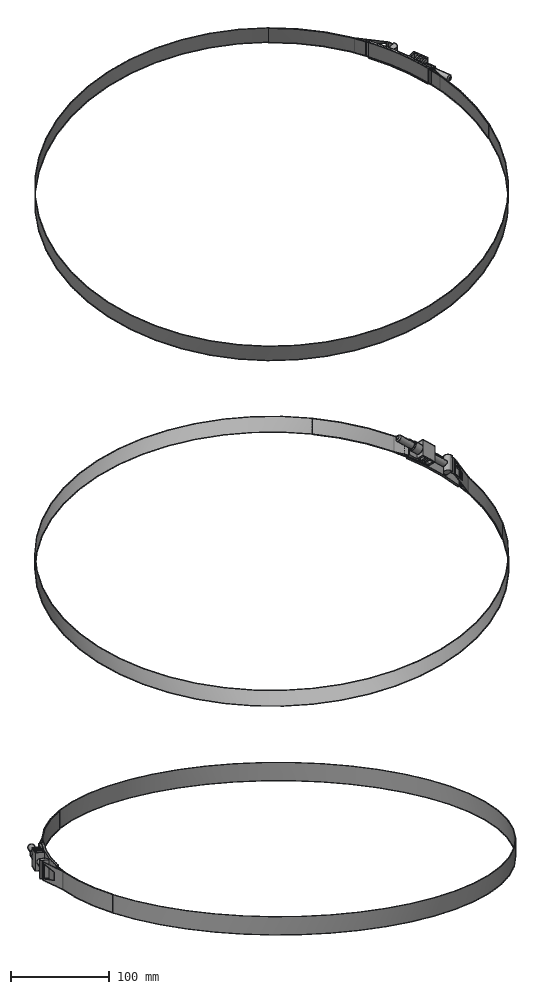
import cadquery as cq
import math


BAND_RADIUS = 239.5
BAND_THICKNESS = 0.6
BAND_WIDTH = 19.5
LEFT_STRAP_SLOPE = 0.42
RIGHT_STRAP_SLOPE = 0.38
STRAP_START_ANGLE = 12.5
LEFT_STRAP_BEND_X = -19.5

LINER_THICKNESS = 0.6
LINER_HALF_ANGLE = 33.7
TAB_HALF_ANGLE = 9.5
TAB_HEIGHT = 1.5
TAB_THICKNESS = 1.0

SLEEVE_WIDTH = 22.0
SLEEVE_HALF_LENGTH = 36.0
SLEEVE_INNER_WALL = 0.75
SLEEVE_OUTER_WALL = 1.1

TOP_Y = 249.5
BOLT_DIAMETER = 7.5
BOLT_Y = 244.0
BOLT_END_X = 56.5
BOLT_CHAMFER = 1.5

TRUNNION_X = -14.5
TRUNNION_FLAT_LENGTH = 2.0
TRUNNION_BULGE = 4.5
TRUNNION_BOTTOM_Y = 240.0

HOUSING_START_X = 9.5
HOUSING_END_X = 36.5
HOUSING_ROOF = 1.5
HOUSING_FLOOR = 0.5
COLLAR_START_X = 26.5
COLLAR_CHAMFER = 1.0
RIB_THICKNESS = 2.0
RIB_STARTS_X = (9.5, 15.5, 19.5, 24.5)

WINDOW_REACH = 39.0
WINDOW_TOP_Y = 246.5
WINDOW_BOTTOM_Y = 239.5
WINDOW_TOP_WIDTH = 15.5
WINDOW_BOTTOM_WIDTH = 9.0

BAND_INNER_RADIUS = BAND_RADIUS - BAND_THICKNESS
LINER_INNER_RADIUS = BAND_INNER_RADIUS - LINER_THICKNESS
SLEEVE_INNER_RADIUS = LINER_INNER_RADIUS - SLEEVE_INNER_WALL
SLEEVE_OUTER_RADIUS = BAND_INNER_RADIUS + SLEEVE_OUTER_WALL
BOLT_RADIUS = BOLT_DIAMETER / 2
TRUNNION_FLAT_END_X = TRUNNION_X + TRUNNION_FLAT_LENGTH
BOLT_START_X = TRUNNION_FLAT_END_X


def ring_point(radius, angle):
    """Point on a circle, with the angle in degrees measured from +Y towards +X."""
    turn = math.radians(angle)
    return (radius * math.sin(turn), radius * math.cos(turn))


def ring_sector(inner_radius, outer_radius, start_angle, end_angle, width):
    """Curved strip centred on the XY plane, running clockwise from +Y."""
    middle = (start_angle + end_angle) / 2
    return (
        cq.Workplane("XY")
        .moveTo(*ring_point(outer_radius, start_angle))
        .threePointArc(ring_point(outer_radius, middle), ring_point(outer_radius, end_angle))
        .lineTo(*ring_point(inner_radius, end_angle))
        .threePointArc(ring_point(inner_radius, middle), ring_point(inner_radius, start_angle))
        .close()
        .extrude(width / 2, both=True)
    )


def box_between(x_start, x_end, y_start, y_end, width):
    """Block given by its X and Y limits, centred on the XY plane."""
    return (
        cq.Workplane("XY")
        .box(x_end - x_start, y_end - y_start, width)
        .translate(((x_start + x_end) / 2, (y_start + y_end) / 2, 0))
    )


def bolt_rod():
    """Plain bolt shank, which is also the hole it needs in its neighbours."""
    return (
        cq.Workplane("YZ", origin=(BOLT_START_X, BOLT_Y, 0))
        .circle(BOLT_RADIUS)
        .extrude(BOLT_END_X - BOLT_START_X)
    )


def make_strap(end_x, bend_x, slope):
    """Strip that climbs from the ring to bend_x and then runs level to end_x."""
    side = math.copysign(1, end_x)
    start_x, start_y = ring_point(BAND_RADIUS, side * STRAP_START_ANGLE)
    bend_y = start_y + slope * abs(bend_x - start_x)
    upper = [(start_x, start_y), (bend_x, bend_y)]
    if end_x != bend_x:
        upper.append((end_x, bend_y))
    lower = [(x, y - BAND_THICKNESS) for x, y in reversed(upper[1:])]
    ring_inside = ring_point(BAND_INNER_RADIUS, side * STRAP_START_ANGLE)
    outline = cq.Workplane("XY").polyline(upper + lower + [ring_inside]).close()
    return outline.extrude(BAND_WIDTH / 2, both=True)


def strap_window():
    """Tapered cutter along -X from the trunnion, long enough to pass through the climbing strap."""
    return (
        cq.Workplane("YZ", origin=(TRUNNION_X, 0, 0))
        .polyline([
            (WINDOW_TOP_Y, -WINDOW_TOP_WIDTH / 2),
            (WINDOW_TOP_Y, WINDOW_TOP_WIDTH / 2),
            (WINDOW_BOTTOM_Y, WINDOW_BOTTOM_WIDTH / 2),
            (WINDOW_BOTTOM_Y, -WINDOW_BOTTOM_WIDTH / 2),
        ])
        .close()
        .extrude(-WINDOW_REACH)
    )


def make_band():
    ring = ring_sector(
        BAND_INNER_RADIUS, BAND_RADIUS, STRAP_START_ANGLE, 360 - STRAP_START_ANGLE, BAND_WIDTH
    )
    left_strap = make_strap(TRUNNION_X, LEFT_STRAP_BEND_X, LEFT_STRAP_SLOPE).cut(strap_window())
    right_strap = make_strap(HOUSING_END_X, HOUSING_END_X, RIGHT_STRAP_SLOPE)
    return ring.union(left_strap).union(right_strap)


def make_liner():
    liner = ring_sector(
        LINER_INNER_RADIUS, BAND_INNER_RADIUS, -LINER_HALF_ANGLE, LINER_HALF_ANGLE, BAND_WIDTH
    )
    for side in (-1, 1):
        tab = (
            cq.Workplane("XY")
            .box(TAB_THICKNESS, LINER_THICKNESS + TAB_HEIGHT, BAND_WIDTH)
            .translate((0, BAND_INNER_RADIUS + (TAB_HEIGHT - LINER_THICKNESS) / 2, 0))
            .rotate((0, 0, 0), (0, 0, 1), -side * TAB_HALF_ANGLE)
        )
        liner = liner.union(tab)
    return liner


def make_sleeve():
    """Flat curved tube around the middle of the liner."""
    half_angle = math.degrees(math.asin(SLEEVE_HALF_LENGTH / BAND_RADIUS))
    shell = ring_sector(SLEEVE_INNER_RADIUS, SLEEVE_OUTER_RADIUS, -half_angle, half_angle, SLEEVE_WIDTH)
    passage = ring_sector(LINER_INNER_RADIUS, BAND_INNER_RADIUS, -half_angle, half_angle, BAND_WIDTH)
    return shell.cut(passage)


def make_bolt():
    return bolt_rod().faces(">X").chamfer(BOLT_CHAMFER)


def make_trunnion():
    """Bar across the band, flat towards the strap and rounded towards the housing."""
    bulge_point = (TRUNNION_FLAT_END_X + TRUNNION_BULGE, (TOP_Y + TRUNNION_BOTTOM_Y) / 2)
    return (
        cq.Workplane("XY")
        .moveTo(TRUNNION_X, TOP_Y)
        .lineTo(TRUNNION_FLAT_END_X, TOP_Y)
        .threePointArc(bulge_point, (TRUNNION_FLAT_END_X, TRUNNION_BOTTOM_Y))
        .lineTo(TRUNNION_X, TRUNNION_BOTTOM_Y)
        .close()
        .extrude(BAND_WIDTH / 2, both=True)
        .cut(bolt_rod())
    )


def make_housing():
    """Cradle on the sleeve: thin roof and floor, cross ribs and a round collar about the bolt."""
    sleeve_space = cq.Workplane("XY").circle(SLEEVE_OUTER_RADIUS).extrude(SLEEVE_WIDTH, both=True)
    floor_top_y = SLEEVE_OUTER_RADIUS + HOUSING_FLOOR
    base_y = math.sqrt(SLEEVE_OUTER_RADIUS**2 - HOUSING_END_X**2)
    housing = box_between(HOUSING_START_X, HOUSING_END_X, base_y, floor_top_y, BAND_WIDTH)
    roof = box_between(HOUSING_START_X, COLLAR_START_X, TOP_Y - HOUSING_ROOF, TOP_Y, BAND_WIDTH)
    housing = housing.union(roof)
    for rib_x in RIB_STARTS_X:
        rib = box_between(rib_x, rib_x + RIB_THICKNESS, base_y, TOP_Y, BAND_WIDTH)
        housing = housing.union(rib)
    collar = (
        cq.Workplane("YZ", origin=(COLLAR_START_X, BOLT_Y, 0))
        .circle(TOP_Y - BOLT_Y)
        .extrude(HOUSING_END_X - COLLAR_START_X)
        .faces(">X")
        .chamfer(COLLAR_CHAMFER)
    )
    return housing.union(collar).cut(sleeve_space).cut(bolt_rod())


band = make_band()
liner = make_liner()
sleeve = make_sleeve()
bolt = make_bolt()
trunnion = make_trunnion()
housing = make_housing()

result = cq.Compound.makeCompound(
    [body.val() for body in (band, liner, sleeve, bolt, trunnion, housing)]
)